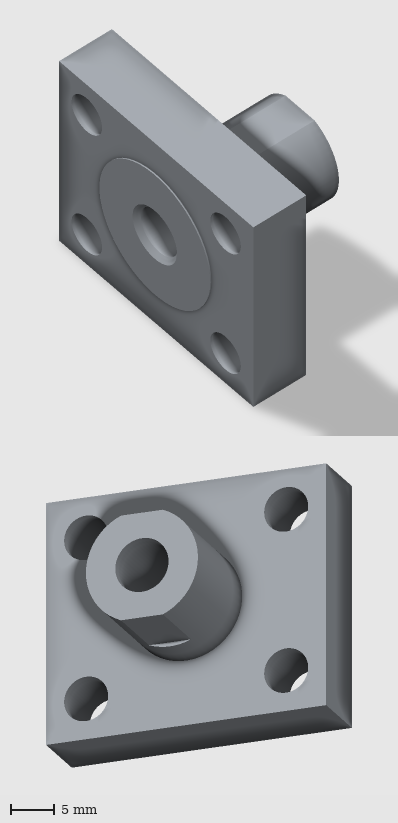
import cadquery as cq

plate_width = 35.0
plate_height = 30.0
plate_thickness = 8.0

pad_diameter = 20.0
pad_height = 0.2

overall_depth = 22.0
shank_diameter = 14.0
shank_length = overall_depth - plate_thickness - pad_height
across_flats = 13.0
flat_length = 8.8

bore_diameter = 6.65
bore_mouth_diameter = 8.0
countersink_depth = (bore_mouth_diameter - bore_diameter) / 2

mount_diameter = 5.5
mount_spacing_x = 25.0
mount_spacing_z = 20.0

pad_face_y = -pad_height
shank_end_y = plate_thickness + shank_length


def cylinder_along_y(diameter, start_y, length):
    """Cylinder on the Y axis, growing toward +Y from start_y."""
    profile = cq.Workplane("XZ", origin=(0, start_y, 0)).circle(diameter / 2)
    return profile.extrude(-length)


def flange_plate():
    plate = cq.Workplane("XZ").rect(plate_width, plate_height).extrude(-plate_thickness)
    mount_holes = (
        cq.Workplane("XZ")
        .rect(mount_spacing_x, mount_spacing_z, forConstruction=True)
        .vertices()
        .circle(mount_diameter / 2)
        .extrude(-plate_thickness)
    )
    return plate.cut(mount_holes)


def shank():
    """Round shank whose end is trimmed above and below to the wrench size."""
    round_length = shank_length - flat_length
    base = cylinder_along_y(shank_diameter, plate_thickness, round_length)
    flats_start_y = plate_thickness + round_length
    wrench_slab = (
        cq.Workplane("XZ", origin=(0, flats_start_y, 0))
        .rect(shank_diameter, across_flats)
        .extrude(-flat_length)
    )
    wrench_end = cylinder_along_y(shank_diameter, flats_start_y, flat_length).intersect(wrench_slab)
    return base.union(wrench_end)


def bore():
    """Half profile of the bore and its countersink, revolved about the Y axis."""
    return (
        cq.Workplane("XY")
        .moveTo(0, pad_face_y)
        .lineTo(bore_mouth_diameter / 2, pad_face_y)
        .lineTo(bore_diameter / 2, pad_face_y + countersink_depth)
        .lineTo(bore_diameter / 2, shank_end_y)
        .lineTo(0, shank_end_y)
        .close()
        .revolve(360, (0, 0, 0), (0, 1, 0))
    )


pad = cylinder_along_y(pad_diameter, pad_face_y, pad_height)
result = flange_plate().union(pad).union(shank()).cut(bore())